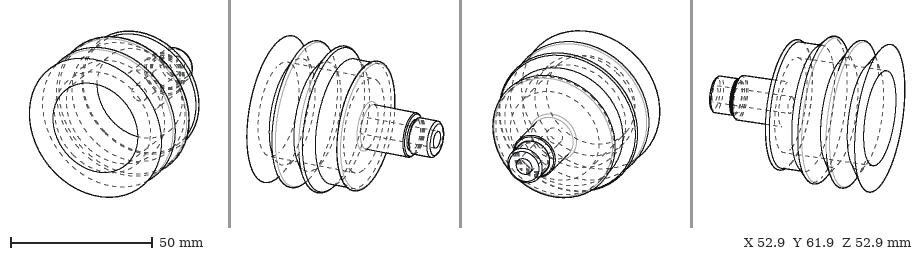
import cadquery as cq

total_length = 61.9

rim_radius = 52.9 / 2
lower_valley_radius = 38.35 / 2
lower_valley_y = 5.4
upper_valley_radius = 39.35 / 2
upper_valley_y = 15.2
crest_edge_radius = rim_radius - 0.5
lower_crest_y = 10.3
lower_crest_half_width = 0.7
upper_crest_y = 20.8
upper_crest_half_width = 0.75

body_radius = 45.15 / 2
body_start_y = 25.0
flange_radius = 46.7 / 2
flange_start_y = 33.4
flange_end_y = 34.85

stem_radius = 16.0 / 2
stem_root_fillet = 0.9
stem_end_y = 52.8
stem_chamfer = 0.45
neck_radius = 11.45 / 2
tip_start_y = 53.75
tip_radius = 13.2 / 2
tip_chamfer = 0.85
tip_start_chamfer = 0.25

cup_bore_diameter = 33.95
cup_bore_depth = flange_start_y
air_hole_diameter = 6.0


def add_crest(profile, center_y, half_width):
    """Continue the (radius, y) outline with a rounded bellows crest."""
    return (
        profile.lineTo(crest_edge_radius, center_y - half_width)
        .threePointArc((rim_radius, center_y), (crest_edge_radius, center_y + half_width))
    )


def make_bellows():
    profile = (
        cq.Workplane("XY")
        .lineTo(rim_radius, 0)
        .lineTo(lower_valley_radius, lower_valley_y)
    )
    profile = add_crest(profile, lower_crest_y, lower_crest_half_width)
    profile = profile.lineTo(upper_valley_radius, upper_valley_y)
    profile = add_crest(profile, upper_crest_y, upper_crest_half_width)
    profile = (
        profile.lineTo(body_radius, body_start_y)
        .lineTo(body_radius, flange_start_y)
        .lineTo(0, flange_start_y)
        .close()
    )
    return profile.revolve(360, (0, 0, 0), (0, 1, 0))


def cylinder(radius, start_y, end_y):
    """Solid cylinder along +Y between two stations."""
    plane = cq.Workplane("XZ", origin=(0, start_y, 0))
    return plane.circle(radius).extrude(start_y - end_y)


def make_flange_and_stem():
    edge_radius = (flange_end_y - flange_start_y) / 2
    flange = (
        cq.Workplane("XY", origin=(0, flange_start_y, 0))
        .lineTo(flange_radius - edge_radius, 0)
        .threePointArc((flange_radius, edge_radius), (flange_radius - edge_radius, 2 * edge_radius))
        .lineTo(0, 2 * edge_radius)
        .close()
        .revolve(360, (0, 0, 0), (0, 1, 0))
    )
    stem = cylinder(stem_radius, flange_start_y, stem_end_y).faces(">Y").chamfer(stem_chamfer)
    root_reach = stem_radius + stem_root_fillet
    root_line = cq.selectors.BoxSelector(
        (-root_reach, flange_end_y - stem_root_fillet / 2, -root_reach),
        (root_reach, flange_end_y + stem_root_fillet / 2, root_reach),
        boundingbox=True,
    )
    return flange.union(stem).edges(root_line).fillet(stem_root_fillet)


def make_tip():
    neck = cylinder(neck_radius, stem_end_y, tip_start_y)
    tip = (
        cylinder(tip_radius, tip_start_y, total_length)
        .faces(">Y").chamfer(tip_chamfer)
        .faces("<Y").chamfer(tip_start_chamfer)
    )
    return neck.union(tip)


cup_bore = cylinder(cup_bore_diameter / 2, 0, cup_bore_depth)
air_hole = cylinder(air_hole_diameter / 2, 0, total_length)

result = make_bellows().union(make_flange_and_stem()).union(make_tip()).cut(cup_bore).cut(air_hole)